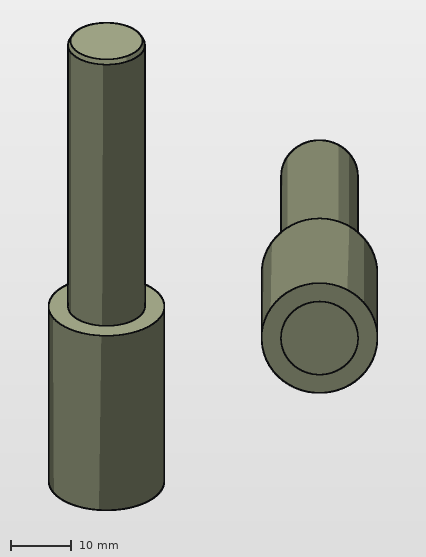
import cadquery as cq

total_height = 84.1
sleeve_diameter = 19.1
sleeve_height = 33.4
pin_diameter = 12.7
chamfer_length = 0.75
chamfer_depth = 0.4


def make_pin():
    """Straight round pin, chamfered at its top end."""
    radius = pin_diameter / 2
    half_profile = (
        cq.Workplane("XZ")
        .lineTo(radius, 0)
        .lineTo(radius, total_height - chamfer_length)
        .lineTo(radius - chamfer_depth, total_height)
        .lineTo(0, total_height)
        .close()
    )
    return half_profile.revolve(360, (0, 0, 0), (0, 1, 0))


def make_sleeve():
    """Plain sleeve around the lower end of the pin."""
    return (
        cq.Workplane("XY")
        .circle(sleeve_diameter / 2)
        .circle(pin_diameter / 2)
        .extrude(sleeve_height)
    )


pin = make_pin()
sleeve = make_sleeve()

result = cq.Compound.makeCompound([pin.val(), sleeve.val()])